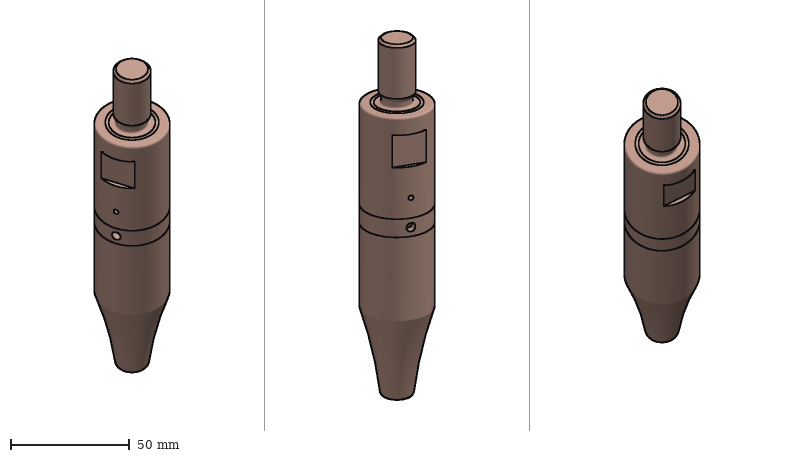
import cadquery as cq
import math

total_height = 165.2
body_diameter = 32.0

stud_diameter = 15.88
stud_chamfer = 1.2
stud_length = 24.8
neck_diameter = 13.5
neck_taper_angle = 30.0
neck_fillet = 1.0

exposed_stud_height = 30.0
body_top = total_height - exposed_stud_height
body_fillet = 1.0

bead_inner_diameter = 19.6
bead_outer_diameter = 22.6
bead_height = 0.55

ring_diameter = 31.9
ring_top = 88.4
ring_height = 8.5
ring_bottom = ring_top - ring_height

nose_top = 41.2
nose_flank_radius = 200.0
tip_diameter = 14.2
tip_fillet = 2.0

flat_spacing = 28.0
flat_height = 15.0
flat_shoulder_height = 8.0
flat_top = body_top - flat_shoulder_height

vent_diameter = 2.2
vent_height = 97.8
vent_depth = 4.0
pin_diameter = 4.0
pin_height = ring_top - ring_height / 2
pin_depth = 4.0


def revolve_about_z(profile):
    """Revolve a closed radius-height profile around the Z axis."""
    return profile.close().revolve(360, (0, 0), (0, 1))


def turned_body():
    """Nose, body, neck and stud with their turned edges rounded."""
    body_radius = body_diameter / 2
    ring_radius = ring_diameter / 2
    stud_radius = stud_diameter / 2
    neck_radius = neck_diameter / 2
    tip_radius = tip_diameter / 2
    stud_bottom = total_height - stud_length
    taper_height = (stud_radius - neck_radius) / math.tan(math.radians(neck_taper_angle))
    neck_top = stud_bottom - taper_height

    profile = cq.Workplane("XZ").lineTo(tip_radius, 0)
    profile = profile.radiusArc((body_radius, nose_top), nose_flank_radius).polyline([
        (body_radius, ring_bottom),
        (ring_radius, ring_bottom),
        (ring_radius, ring_top),
        (body_radius, ring_top),
        (body_radius, body_top),
        (neck_radius, body_top),
        (neck_radius, neck_top),
        (stud_radius, stud_bottom),
        (stud_radius, total_height - stud_chamfer),
        (stud_radius - stud_chamfer, total_height),
        (0, total_height),
    ], includeCurrent=True)
    body = revolve_about_z(profile)
    body = fillet_circle(body, tip_radius, 0, tip_fillet)
    body = fillet_circle(body, body_radius, body_top, body_fillet)
    body = fillet_circle(body, neck_radius, body_top, neck_fillet)
    return fillet_circle(body, neck_radius, neck_top, neck_fillet)


def fillet_circle(body, circle_radius, height, fillet_radius):
    """Round the circular edge that has the given radius and height."""
    tolerance = 0.01

    def is_wanted(edge):
        at_height = abs(edge.Center().z - height) < tolerance
        return edge.geomType() == "CIRCLE" and at_height and abs(edge.radius() - circle_radius) < tolerance

    return body.newObject(body.edges().filter(is_wanted).vals()).fillet(fillet_radius)


def top_bead():
    """Rounded ring standing on the top face of the body."""
    inner_radius = bead_inner_diameter / 2
    outer_radius = bead_outer_diameter / 2
    crest_radius = (inner_radius + outer_radius) / 2
    crest = (crest_radius, body_top + bead_height)
    profile = (
        cq.Workplane("XZ")
        .moveTo(inner_radius, body_top)
        .threePointArc(crest, (outer_radius, body_top))
    )
    return revolve_about_z(profile)


def flat_cutter(side):
    """Block outside one wrench flat; side is -1 or +1 along Y."""
    block_size = body_diameter
    center = (0, side * (flat_spacing + block_size) / 2, flat_top - flat_height / 2)
    return cq.Workplane("XY").box(block_size, block_size, flat_height).translate(center)


def radial_hole(diameter, height, depth):
    """Cutter for a blind hole drilled along +Y from the -Y side of the body."""
    start = cq.Vector(0, -body_diameter / 2, height)
    return cq.Workplane(cq.Solid.makeCylinder(diameter / 2, depth, start, cq.Vector(0, 1, 0)))


result = turned_body().union(top_bead())
for side in (-1, 1):
    result = result.cut(flat_cutter(side))
result = result.cut(radial_hole(vent_diameter, vent_height, vent_depth))
result = result.cut(radial_hole(pin_diameter, pin_height, pin_depth))